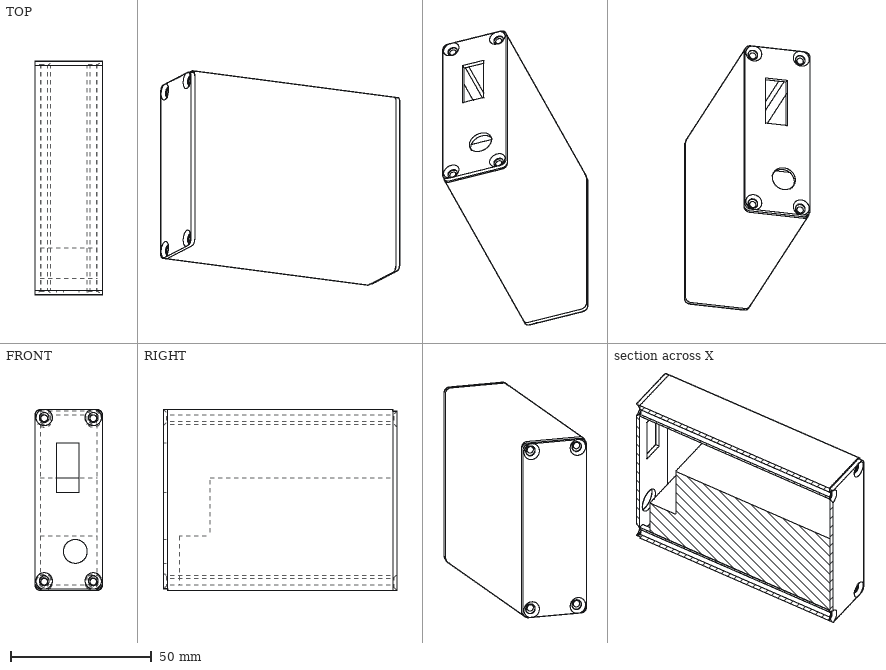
import cadquery as cq

width = 24.0
length = 83.0
height = 64.3
corner_radius = 2.1

plate_thickness = 1.5
plate_shortfall = 0.6
plate_height = height - plate_shortfall
plate_offset = plate_shortfall / 2

screw_spacing_x = 17.4
screw_spacing_z = 58.0
screw_clearance = 3.5
screw_head = 5.8
countersink_angle = 90
screw_bore = 2.3

wall = 2.0
housing_length = length - 2 * plate_thickness
cavity_width = width - 2 * wall
cavity_height = height - 2 * wall
boss_size = 4.5

window_width = 8.0
window_height = 17.6
window_x = -0.4
window_z = 11.45
round_opening_diameter = 8.5
round_opening_x = 2.3
round_opening_z = -18.3

step_front_depth = 5.7
step_top_z = -12.9
block_front_depth = 16.6
block_top_z = 7.9

front_y = -length / 2
housing_front_y = front_y + plate_thickness
housing_back_y = housing_front_y + housing_length


def box_between(x_size, y_start, y_end, z_start, z_end):
    """Box centred on X between the given Y and Z limits."""
    corner = cq.Vector(-x_size / 2, y_start, z_start)
    return cq.Workplane(cq.Solid.makeBox(x_size, y_end - y_start, z_end - z_start, corner))


def rounded_bar(bar_height, y_start, y_end):
    """Bar along Y with its four long edges rounded."""
    bar = box_between(width, y_start, y_end, -bar_height / 2, bar_height / 2)
    return bar.edges("|Y").fillet(corner_radius)


def cavity(y_start, y_end):
    """Inner space of the housing: a cross that leaves a square screw boss in each corner."""
    tall_width = screw_spacing_x - boss_size
    wide_height = screw_spacing_z - boss_size
    tall_arm = box_between(tall_width, y_start, y_end, -cavity_height / 2, cavity_height / 2)
    wide_arm = box_between(cavity_width, y_start, y_end, -wide_height / 2, wide_height / 2)
    return tall_arm.union(wide_arm)


def make_housing():
    """Open tube with four bored screw bosses."""
    body = rounded_bar(height, housing_front_y, housing_back_y)
    body = body.cut(cavity(housing_front_y, housing_back_y))
    screw_bores = (
        cq.Workplane("XZ", origin=(0, housing_front_y, 0))
        .rect(screw_spacing_x, screw_spacing_z, forConstruction=True)
        .vertices()
        .circle(screw_bore / 2)
        .extrude(-housing_length)
    )
    return body.cut(screw_bores)


def make_plain_plate():
    """Countersunk end plate in the front position, centred on Z."""
    return (
        rounded_bar(plate_height, front_y, housing_front_y)
        .faces("<Y")
        .workplane(centerOption="CenterOfBoundBox")
        .rect(screw_spacing_x, screw_spacing_z, forConstruction=True)
        .vertices()
        .cskHole(screw_clearance, screw_head, countersink_angle)
    )


def make_front_plate():
    """End plate flush with the top, with a rectangular and a round opening."""
    window = (
        cq.Workplane("XZ", origin=(0, front_y, 0))
        .center(window_x, window_z)
        .rect(window_width, window_height)
        .extrude(-plate_thickness)
    )
    round_opening = (
        cq.Workplane("XZ", origin=(round_opening_x, front_y, round_opening_z))
        .circle(round_opening_diameter / 2)
        .extrude(-plate_thickness)
    )
    plate = make_plain_plate().translate((0, 0, plate_offset))
    return plate.cut(window).cut(round_opening)


def make_rear_plate():
    """End plate turned half a turn about X, so that it is flush with the bottom."""
    plate = make_plain_plate().translate((0, 0, plate_offset))
    return plate.rotate((0, 0, 0), (1, 0, 0), 180)


def make_insert():
    """Block that fills the lower part of the cavity, with a lower step at its front."""
    step_front_y = front_y + step_front_depth
    block_front_y = front_y + block_front_depth
    floor_z = -cavity_height / 2
    step = box_between(cavity_width, step_front_y, block_front_y, floor_z, step_top_z)
    block = box_between(cavity_width, block_front_y, housing_back_y, floor_z, block_top_z)
    return step.union(block).intersect(cavity(step_front_y, housing_back_y))


housing = make_housing()
front_plate = make_front_plate()
rear_plate = make_rear_plate()
insert = make_insert()

result = cq.Compound.makeCompound([housing.val(), front_plate.val(), rear_plate.val(), insert.val()])